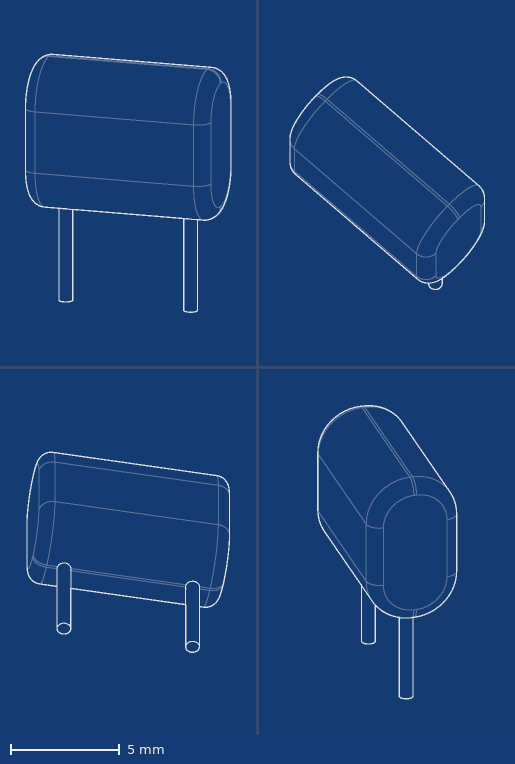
import cadquery as cq

body_length = 8.89
body_width = 4.318
body_height = 7.112
top_flat_width = 0.127
long_edge_radius = (body_width - top_flat_width) / 2
end_fillet_radius = 0.635

lead_diameter = 0.64
lead_spacing = 6.0
lead_length = 4.445
lead_embed = 1.0


def make_body():
    """Rounded body with its underside at Z = 0."""
    block = cq.Workplane("XY").box(
        body_length, body_width, body_height, centered=(True, True, False)
    )
    rounded = block.edges("|X").fillet(long_edge_radius)
    return rounded.faces("<X or >X").edges().fillet(end_fillet_radius)


def make_lead(x):
    """Straight round lead at the given X position."""
    return (
        cq.Workplane("XY", origin=(x, 0, -lead_length))
        .circle(lead_diameter / 2)
        .extrude(lead_length + lead_embed)
    )


result = make_body()
for side in (-1, 1):
    result = result.union(make_lead(side * lead_spacing / 2))